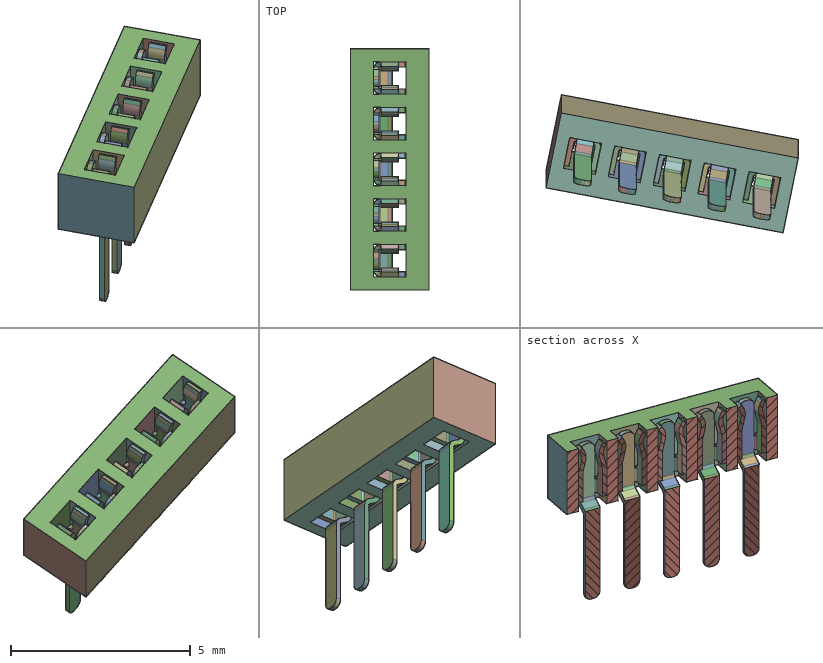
import cadquery as cq
import math

HOUSING_X = 2.2
HOUSING_Y = 6.72
HOUSING_Z = 2.0
CAVITY_SIDE = 0.9
CONTACT_COUNT = 5
PITCH = 1.27

SHEET = 0.15
BLADE_WIDTH = 0.485
TAB_CORNER = 0.2
OUTER_CORNER = 0.2
BASE_BOTTOM = 0.27
SHOULDER_Z = 0.705
SIDE_END_GAP = 0.015
BACK_TAB_TOP = 1.895

LEAF_START = 0.21
LEAF_REACH = 0.25
LEAF_BEND_RADIUS = 0.44
LEAF_BEND_Z = 1.66
LEAF_LEAN = math.radians(14)
TIP_FLARE = math.radians(30)

LEG_END_Z = -2.895
LEG_BEND_Z = -0.23
LEG_BEND_INNER = 0.1
LEG_TILT = math.radians(60)

HALF_CAVITY = CAVITY_SIDE / 2
BACK_X = -HALF_CAVITY
BACK_INNER_X = BACK_X + SHEET
INNER_CORNER = OUTER_CORNER - SHEET
SIDE_INNER_Y = HALF_CAVITY - SHEET
SIDE_END_X = HALF_CAVITY - SIDE_END_GAP
LEAF_NEAR_X = BACK_X + LEAF_START
LEAF_FAR_X = LEAF_NEAR_X + BLADE_WIDTH
CONTACT_PLACES = [(i - (CONTACT_COUNT - 1) / 2) * PITCH for i in range(CONTACT_COUNT)]


def polar(center, radius, angle):
    """Point at an angle on a circle, in a 2D sketch plane."""
    return (center[0] + radius * math.cos(angle), center[1] + radius * math.sin(angle))


def make_housing():
    """Plain block with one square through cavity per contact."""
    block = cq.Workplane("XY").box(HOUSING_X, HOUSING_Y, HOUSING_Z, centered=(True, True, False))
    cavities = (
        cq.Workplane("XY")
        .pushPoints([(0, y) for y in CONTACT_PLACES])
        .rect(CAVITY_SIDE, CAVITY_SIDE)
        .extrude(HOUSING_Z)
    )
    return block.cut(cavities)


def make_u_channel():
    """U-shaped channel with bent corners, taller than the finished base."""
    height = HOUSING_Z - BASE_BOTTOM
    outside = (
        cq.Workplane("XY")
        .box(SIDE_END_X - BACK_X, CAVITY_SIDE, height, centered=(False, True, False))
        .edges("|Z and <X")
        .fillet(OUTER_CORNER)
    )
    inside = (
        cq.Workplane("XY")
        .box(SIDE_END_X - BACK_INNER_X, 2 * SIDE_INNER_Y, height, centered=(False, True, False))
        .edges("|Z and <X")
        .fillet(INNER_CORNER)
        .translate((SHEET, 0, 0))
    )
    return outside.cut(inside).translate((BACK_X, 0, BASE_BOTTOM))


def make_back_envelope():
    """Block that keeps the rear of the channel up to its flat shoulders."""
    return cq.Workplane("XY").box(
        SHEET + INNER_CORNER, 2 * SIDE_INNER_Y, SHOULDER_Z - BASE_BOTTOM, centered=(False, True, False)
    ).translate((BACK_X, 0, BASE_BOTTOM))


def make_back_tab():
    """Upright tab above the rear wall, with rounded top corners."""
    return (
        cq.Workplane("XY")
        .box(SHEET, BLADE_WIDTH, BACK_TAB_TOP - SHOULDER_Z, centered=(False, True, False))
        .edges(">Z and |X")
        .fillet(TAB_CORNER)
        .translate((BACK_X, 0, SHOULDER_Z))
    )


def make_side_envelope():
    """Slab that keeps the +Y wall; concave arcs blend its shoulders into the foot of the leaf."""
    near_radius = LEAF_NEAR_X - BACK_X
    far_radius = SIDE_END_X - LEAF_FAR_X
    diagonal = math.sqrt(0.5)
    near_center = (BACK_X, SHOULDER_Z + near_radius)
    far_center = (SIDE_END_X, SHOULDER_Z + far_radius)
    return (
        cq.Workplane("XZ", origin=(0, HALF_CAVITY, 0))
        .moveTo(BACK_X, BASE_BOTTOM)
        .lineTo(BACK_X, SHOULDER_Z)
        .threePointArc(
            (near_center[0] + near_radius * diagonal, near_center[1] - near_radius * diagonal),
            (LEAF_NEAR_X, near_center[1]),
        )
        .lineTo(LEAF_FAR_X, far_center[1])
        .threePointArc(
            (far_center[0] - far_radius * diagonal, far_center[1] - far_radius * diagonal),
            (SIDE_END_X, SHOULDER_Z),
        )
        .lineTo(SIDE_END_X, BASE_BOTTOM)
        .close()
        .extrude(SHEET)
    )


def make_leaf():
    """Spring leaf on the +Y wall: leans inward, bends back and flares out at the tip."""
    outer_radius = LEAF_BEND_RADIUS - SHEET
    center_inset = LEAF_REACH - LEAF_BEND_RADIUS
    center = (center_inset, LEAF_BEND_Z)

    def lean_foot(radius, inset):
        top = polar(center, radius, -LEAF_LEAN)
        return (inset, top[1] - (top[0] - inset) / math.tan(LEAF_LEAN))

    outer_flare_start = polar(center, outer_radius, TIP_FLARE)
    inner_flare_start = polar(center, LEAF_BEND_RADIUS, TIP_FLARE)
    flare_rise = outer_flare_start[0] / math.tan(TIP_FLARE)
    outer_tip = (0, outer_flare_start[1] + flare_rise)
    inner_tip = (inner_flare_start[0] - outer_flare_start[0], inner_flare_start[1] + flare_rise)

    def at(point):
        inset, z = point
        return (HALF_CAVITY - inset, z)

    return (
        cq.Workplane("YZ", origin=(LEAF_NEAR_X, 0, 0))
        .moveTo(*at((0, SHOULDER_Z)))
        .lineTo(*at(lean_foot(outer_radius, 0)))
        .lineTo(*at(polar(center, outer_radius, -LEAF_LEAN)))
        .threePointArc(at(polar(center, outer_radius, 0)), at(outer_flare_start))
        .lineTo(*at(outer_tip))
        .lineTo(*at(inner_tip))
        .lineTo(*at(inner_flare_start))
        .threePointArc(
            at(polar(center, LEAF_BEND_RADIUS, 0)),
            at(polar(center, LEAF_BEND_RADIUS, -LEAF_LEAN)),
        )
        .lineTo(*at(lean_foot(LEAF_BEND_RADIUS, SHEET)))
        .lineTo(*at((SHEET, SHOULDER_Z)))
        .close()
        .extrude(BLADE_WIDTH)
    )


def make_leg():
    """Leg cranked from the rear wall to the middle of the cavity, then straight down."""
    inner = LEG_BEND_INNER
    outer = LEG_BEND_INNER + SHEET
    middle = LEG_BEND_INNER + SHEET / 2
    rear_middle_x = BACK_X + SHEET / 2
    bend_run = middle * (1 - math.cos(LEG_TILT))
    bend_rise = middle * math.sin(LEG_TILT)
    slope_run = -rear_middle_x - 2 * bend_run
    crank_rise = 2 * bend_rise + slope_run / math.tan(LEG_TILT)
    lower_center = (-middle, LEG_BEND_Z)
    upper_center = (rear_middle_x + middle, LEG_BEND_Z + crank_rise)
    half_turn = LEG_TILT / 2
    half_sheet = SHEET / 2
    return (
        cq.Workplane("XZ", origin=(0, BLADE_WIDTH / 2, 0))
        .moveTo(half_sheet, LEG_END_Z)
        .lineTo(half_sheet, LEG_BEND_Z)
        .threePointArc(polar(lower_center, outer, half_turn), polar(lower_center, outer, LEG_TILT))
        .lineTo(*polar(upper_center, inner, math.pi + LEG_TILT))
        .threePointArc(
            polar(upper_center, inner, math.pi + half_turn), polar(upper_center, inner, math.pi)
        )
        .lineTo(BACK_INNER_X, BASE_BOTTOM)
        .lineTo(BACK_X, BASE_BOTTOM)
        .lineTo(*polar(upper_center, outer, math.pi))
        .threePointArc(
            polar(upper_center, outer, math.pi + half_turn),
            polar(upper_center, outer, math.pi + LEG_TILT),
        )
        .lineTo(*polar(lower_center, inner, LEG_TILT))
        .threePointArc(polar(lower_center, inner, half_turn), polar(lower_center, inner, 0))
        .lineTo(-half_sheet, LEG_END_Z)
        .close()
        .extrude(BLADE_WIDTH)
        .edges("<Z and |X")
        .fillet(TAB_CORNER)
    )


def make_contact():
    """One contact centred on Y = 0."""
    side_envelope = make_side_envelope()
    envelope = make_back_envelope().union(side_envelope).union(side_envelope.mirror("XZ"))
    base = make_u_channel().intersect(envelope)
    leaf = make_leaf()
    return base.union(make_back_tab()).union(make_leg()).union(leaf).union(leaf.mirror("XZ"))


housing = make_housing()
contact = make_contact()
contacts = [contact.translate((0, y, 0)) for y in CONTACT_PLACES]

result = cq.Compound.makeCompound([housing.val(), *[body.val() for body in contacts]])